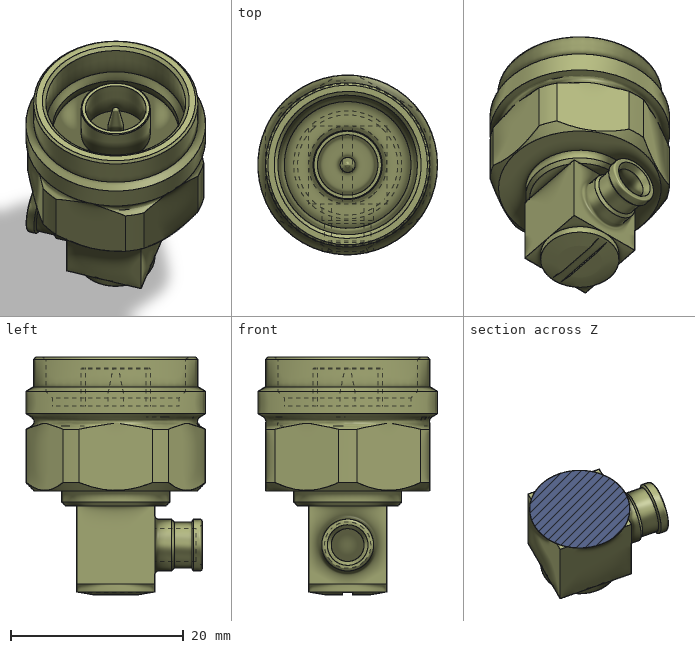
import cadquery as cq
import math


block_side = 9.05
block_bottom = -block_side / 2
cap_radius = block_side / 2
cap_height = 0.9
cap_rim_z = block_bottom - cap_height
cap_tip_radius = 2.6
cap_tip_height = 0.34
cap_tip_z = cap_rim_z - cap_tip_height
cap_slot_depth = 0.28
cap_slot_width = 1.15

collar_radius = 6.25
collar_height = 1.7
collar_chamfer = 0.45

nut_bottom = block_side / 2 + collar_height
nut_radius = 10.4
rim_radius = 9.5
hex_across_flats = 2 * rim_radius
hex_bottom_chamfer = 1.0
hex_height = 7.16
hex_corner_top = nut_bottom + hex_height
groove_width = 1.8
band_height = 2.6
cone_angle = math.radians(30)
groove_cone_depth = 0.62
band_bottom = hex_corner_top + groove_width
band_top = band_bottom + band_height
nut_height = 15.53
rim_top = nut_bottom + nut_height
rim_chamfer = 0.27

mouth_radius = 8.5
mouth_depth = 0.3
bore_radius = 8.07
bore_depth = 4.0
inner_radius = 7.33
floor_depth = 5.65
floor_z = rim_top - floor_depth

sleeve_radius = 4.0
sleeve_bore_radius = 3.5
sleeve_chamfer = 0.1
contact_recess = 1.3
contact_top = rim_top - contact_recess
pin_radius = 0.87
pin_tip_radius = 0.4
pin_cone_length = 2.4

port_radius = 3.0
port_root_fillet = 0.45
port_shoulder = 1.9
port_neck_start = 2.25
port_neck_radius = 2.68
port_neck_end = 4.27
port_lip_start = 4.45
port_length = 5.48
port_end_fillet = 0.3
port_mouth_radius = 2.35
port_bore_radius = 1.9
port_cone_depth = 0.75
port_bore_depth = port_length


def revolve_profile(profile):
    """Turn a profile drawn as (radius, position along axis) about its plane's vertical axis."""
    return profile.close().revolve(360, (0, 0, 0), (0, 1, 0))


def make_nut_envelope():
    """Turned outside of the nut, with the V groove rounded at its root."""
    cone_rise = groove_cone_depth * math.tan(cone_angle)
    arc_end_radius = nut_radius - groove_cone_depth
    arc_half_height = groove_width / 2 - cone_rise
    arc_radius = arc_half_height / math.cos(cone_angle)
    root_radius = arc_end_radius - arc_radius * (1 - math.sin(cone_angle))
    groove_middle = hex_corner_top + groove_width / 2
    shoulder_rise = (nut_radius - rim_radius) * math.tan(cone_angle)
    profile = (
        cq.Workplane("XZ")
        .moveTo(0, nut_bottom)
        .lineTo(nut_radius - hex_bottom_chamfer, nut_bottom)
        .lineTo(nut_radius, nut_bottom + hex_bottom_chamfer)
        .lineTo(nut_radius, hex_corner_top)
        .lineTo(arc_end_radius, hex_corner_top + cone_rise)
        .threePointArc((root_radius, groove_middle), (arc_end_radius, band_bottom - cone_rise))
        .lineTo(nut_radius, band_bottom)
        .lineTo(nut_radius, band_top)
        .lineTo(rim_radius, band_top + shoulder_rise)
        .lineTo(rim_radius, rim_top - rim_chamfer)
        .lineTo(rim_radius - rim_chamfer, rim_top)
        .lineTo(0, rim_top)
    )
    return revolve_profile(profile)


def cut_hex_flats(nut):
    """Cut six wrench flats below the groove, two of them facing +X and -X."""
    flats_height = hex_corner_top + groove_width / 2 - nut_bottom
    hexagon = (
        cq.Workplane("XY")
        .workplane(offset=nut_bottom)
        .polygon(6, hex_across_flats, circumscribed=True)
        .extrude(flats_height)
    )
    blank = cq.Workplane("XY").workplane(offset=nut_bottom).circle(2 * nut_radius).extrude(flats_height)
    return nut.cut(blank.cut(hexagon))


def make_nut_bore():
    """Cavity of the nut: chamfered mouth, bore, conical step and flat floor."""
    profile = (
        cq.Workplane("XZ")
        .moveTo(0, rim_top)
        .lineTo(mouth_radius, rim_top)
        .lineTo(bore_radius, rim_top - mouth_depth)
        .lineTo(bore_radius, rim_top - bore_depth)
        .lineTo(inner_radius, rim_top - bore_depth - (bore_radius - inner_radius))
        .lineTo(inner_radius, floor_z)
        .lineTo(0, floor_z)
    )
    return revolve_profile(profile)


def make_sleeve():
    """Outer contact tube with a chamfered rim."""
    profile = (
        cq.Workplane("XZ")
        .moveTo(sleeve_bore_radius, nut_bottom)
        .lineTo(sleeve_radius, nut_bottom)
        .lineTo(sleeve_radius, contact_top - sleeve_chamfer)
        .lineTo(sleeve_radius - sleeve_chamfer, contact_top)
        .lineTo(sleeve_bore_radius, contact_top)
    )
    return revolve_profile(profile)


def make_pin():
    """Tapered pin with a hemispherical tip."""
    tip_centre = contact_top - pin_tip_radius
    tip_offset = pin_tip_radius * math.sqrt(0.5)
    profile = (
        cq.Workplane("XZ")
        .moveTo(0, nut_bottom)
        .lineTo(pin_radius, nut_bottom)
        .lineTo(pin_radius, tip_centre - pin_cone_length)
        .lineTo(pin_tip_radius, tip_centre)
        .threePointArc((tip_offset, tip_centre + tip_offset), (0, contact_top))
    )
    return revolve_profile(profile)


def make_collar():
    """Round collar joining the block to the nut, chamfered at its lower edge."""
    return (
        cq.Workplane("XY")
        .workplane(offset=block_side / 2)
        .circle(collar_radius)
        .extrude(collar_height)
        .faces("<Z")
        .chamfer(collar_chamfer)
    )


def make_cap():
    """Round end cap with a shallow conical end, a flat tip and a screwdriver slot along Y."""
    profile = (
        cq.Workplane("XZ")
        .moveTo(0, block_bottom)
        .lineTo(cap_radius, block_bottom)
        .lineTo(cap_radius, cap_rim_z)
        .lineTo(cap_tip_radius, cap_tip_z)
        .lineTo(0, cap_tip_z)
    )
    slot = (
        cq.Workplane("XY")
        .workplane(offset=cap_tip_z)
        .rect(cap_slot_width, 2 * cap_radius)
        .extrude(cap_slot_depth)
    )
    return revolve_profile(profile).cut(slot)


def port_point(radius, length):
    """Point of the port profile in the XY plane."""
    return (radius, -block_side / 2 - length)


def make_port():
    """Turned cable port with a root fillet, a narrower neck and a rounded lip."""
    root_mid = port_root_fillet * (1 - math.sqrt(0.5))
    end_mid = port_end_fillet * (1 - math.sqrt(0.5))
    profile = (
        cq.Workplane("XY")
        .moveTo(0, 0)
        .lineTo(port_radius + port_root_fillet, 0)
        .lineTo(*port_point(port_radius + port_root_fillet, 0))
        .threePointArc(
            port_point(port_radius + root_mid, root_mid),
            port_point(port_radius, port_root_fillet),
        )
        .lineTo(*port_point(port_radius, port_shoulder))
        .lineTo(*port_point(port_neck_radius, port_neck_start))
        .lineTo(*port_point(port_neck_radius, port_neck_end))
        .lineTo(*port_point(port_radius, port_lip_start))
        .lineTo(*port_point(port_radius, port_length - port_end_fillet))
        .threePointArc(
            port_point(port_radius - end_mid, port_length - end_mid),
            port_point(port_radius - port_end_fillet, port_length),
        )
        .lineTo(*port_point(0, port_length))
    )
    return revolve_profile(profile)


def make_port_bore():
    """Tapered mouth leading into a blind cylindrical bore."""
    profile = (
        cq.Workplane("XY")
        .moveTo(*port_point(0, port_length))
        .lineTo(*port_point(port_mouth_radius, port_length))
        .lineTo(*port_point(port_bore_radius, port_length - port_cone_depth))
        .lineTo(*port_point(port_bore_radius, port_length - port_bore_depth))
        .lineTo(*port_point(0, port_length - port_bore_depth))
    )
    return revolve_profile(profile)


nut = cut_hex_flats(make_nut_envelope()).cut(make_nut_bore())
block = cq.Workplane("XY").box(block_side, block_side, block_side)
result = (
    nut.union(make_sleeve())
    .union(make_pin())
    .union(make_collar())
    .union(block)
    .union(make_cap())
    .union(make_port())
    .cut(make_port_bore())
)